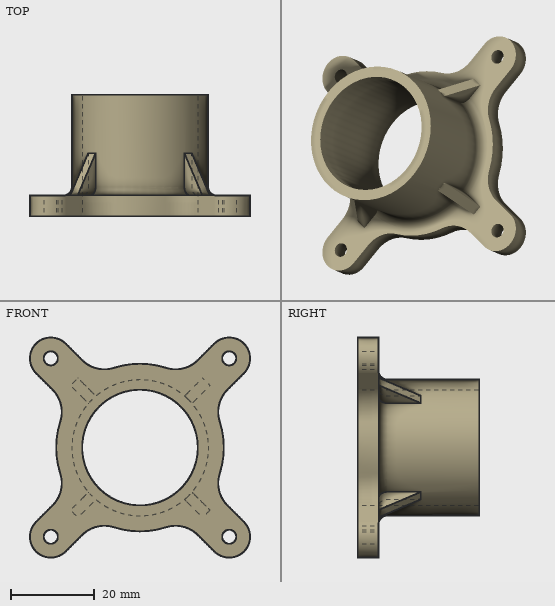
import cadquery as cq
import math

HOLE_PITCH = 42.5
HOLE_DIAMETER = 3.3

FLANGE_THICKNESS = 5.0
RING_RADIUS = 20.0
ARM_WIDTH = 10.0
ARM_BLEND_RADIUS = 7.5
ARM_COUNT = 4

TUBE_OUTER_RADIUS = 16.25
TUBE_BORE_RADIUS = 13.75
TUBE_LENGTH = 24.0
TUBE_FILLET_RADIUS = 2.0

RIB_THICKNESS = 2.5
RIB_HEIGHT = 10.0
RIB_REACH = 6.0

ARM_STEP = 360.0 / ARM_COUNT
ARM_LENGTH = HOLE_PITCH / math.sqrt(2)
ARM_TIP_RADIUS = ARM_WIDTH / 2
TOTAL_LENGTH = FLANGE_THICKNESS + TUBE_LENGTH

ARM_ANGLES = [ARM_STEP / 2 + ARM_STEP * i for i in range(ARM_COUNT)]


def flange_face():
    """Workplane on the flat flange face, with its normal along +Y."""
    return cq.Workplane(cq.Plane(origin=(0, 0, 0), xDir=(1, 0, 0), normal=(0, 1, 0)))


def turned(point, angle):
    """Turn an (along, across) point of an arm to the given angle."""
    along, across = point
    cosine = math.cos(math.radians(angle))
    sine = math.sin(math.radians(angle))
    return (along * cosine - across * sine, along * sine + across * cosine)


def make_flange():
    """Ring with four round-ended arms, joined by arcs tangent to ring and arms."""
    blend_across = ARM_WIDTH / 2 + ARM_BLEND_RADIUS
    blend_distance = RING_RADIUS + ARM_BLEND_RADIUS
    blend_along = math.sqrt(blend_distance**2 - blend_across**2)

    ring_scale = RING_RADIUS / blend_distance
    ring_end = (blend_along * ring_scale, blend_across * ring_scale)
    ring_direction = math.atan2(-blend_across, -blend_along)
    middle_direction = (ring_direction - math.pi / 2) / 2
    blend_middle = (
        blend_along + ARM_BLEND_RADIUS * math.cos(middle_direction),
        blend_across + ARM_BLEND_RADIUS * math.sin(middle_direction),
    )
    side_start = (blend_along, ARM_WIDTH / 2)
    tip_start = (ARM_LENGTH, ARM_WIDTH / 2)
    tip_middle = (ARM_LENGTH + ARM_TIP_RADIUS, 0)

    def mirrored(point):
        return (point[0], -point[1])

    outline = flange_face().moveTo(*turned(mirrored(ring_end), ARM_ANGLES[0]))
    for angle in ARM_ANGLES:
        outline = (
            outline.threePointArc(
                turned(mirrored(blend_middle), angle),
                turned(mirrored(side_start), angle),
            )
            .lineTo(*turned(mirrored(tip_start), angle))
            .threePointArc(turned(tip_middle, angle), turned(tip_start, angle))
            .lineTo(*turned(side_start, angle))
            .threePointArc(turned(blend_middle, angle), turned(ring_end, angle))
            .threePointArc(
                turned((RING_RADIUS, 0), angle + ARM_STEP / 2),
                turned(mirrored(ring_end), angle + ARM_STEP),
            )
        )
    return outline.close().extrude(FLANGE_THICKNESS)


def make_tube():
    """Tube turned about Y, with a concave fillet where it stands on the flange."""
    fillet_top = FLANGE_THICKNESS + TUBE_FILLET_RADIUS
    foot_radius = TUBE_OUTER_RADIUS + TUBE_FILLET_RADIUS
    fillet_inset = TUBE_FILLET_RADIUS * (1 - math.sqrt(0.5))
    fillet_middle = (-(TUBE_OUTER_RADIUS + fillet_inset), FLANGE_THICKNESS + fillet_inset)
    return (
        cq.Workplane("XY")
        .lineTo(-foot_radius, 0)
        .lineTo(-foot_radius, FLANGE_THICKNESS)
        .threePointArc(fillet_middle, (-TUBE_OUTER_RADIUS, fillet_top))
        .lineTo(-TUBE_OUTER_RADIUS, TOTAL_LENGTH)
        .lineTo(0, TOTAL_LENGTH)
        .close()
        .revolve(360, (0, 0, 0), (0, 1, 0))
    )


def make_rib(angle):
    """Triangular rib standing on one arm, leaning against the tube."""
    wall_mid_radius = (TUBE_OUTER_RADIUS + TUBE_BORE_RADIUS) / 2
    rib_top = FLANGE_THICKNESS + RIB_HEIGHT
    return (
        cq.Workplane("XY")
        .moveTo(wall_mid_radius, FLANGE_THICKNESS)
        .lineTo(TUBE_OUTER_RADIUS + RIB_REACH, FLANGE_THICKNESS)
        .lineTo(TUBE_OUTER_RADIUS, rib_top)
        .lineTo(wall_mid_radius, rib_top)
        .close()
        .extrude(RIB_THICKNESS / 2, both=True)
        .rotate((0, 0, 0), (0, 1, 0), angle)
    )


def cut_holes(body):
    """Cut the bore along the full length and one screw hole at each arm end."""
    bore = flange_face().circle(TUBE_BORE_RADIUS).extrude(TOTAL_LENGTH)
    screw_holes = (
        flange_face()
        .rect(HOLE_PITCH, HOLE_PITCH, forConstruction=True)
        .vertices()
        .circle(HOLE_DIAMETER / 2)
        .extrude(FLANGE_THICKNESS)
    )
    return body.cut(bore).cut(screw_holes)


result = make_flange().union(make_tube())
for arm_angle in ARM_ANGLES:
    result = result.union(make_rib(arm_angle))
result = cut_holes(result)